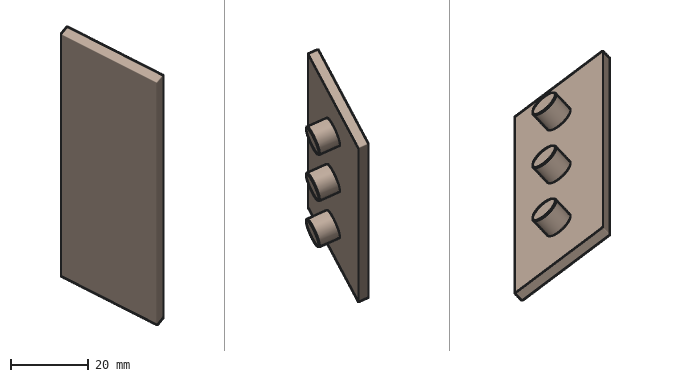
import cadquery as cq

plate_width = 30.0
plate_thickness = 3.0
plate_height = 100.0
plate_edge_radius = 0.25

peg_diameter = 8.0
peg_length = 6.0
peg_spacing = 30.0
peg_count = 3
peg_tip_chamfer = 0.2


def make_plate():
    """Upright plate with rounded corners and a rounded rim on its front face."""
    plate = cq.Workplane("XY").box(
        plate_width, plate_thickness, plate_height, centered=(True, False, True)
    )
    plate = plate.edges("|Y").fillet(plate_edge_radius)
    return plate.faces("<Y").edges().fillet(plate_edge_radius)


def make_peg(z):
    """Peg along +Y with a chamfered tip, rooted on the back of the plate at height z."""
    peg = cq.Workplane("XZ", origin=(0, plate_thickness, z)).circle(peg_diameter / 2)
    peg = peg.extrude(-peg_length)
    return peg.faces(">Y").edges().chamfer(peg_tip_chamfer)


result = make_plate()
for index in range(peg_count):
    peg_z = (index - (peg_count - 1) / 2) * peg_spacing
    result = result.union(make_peg(peg_z))